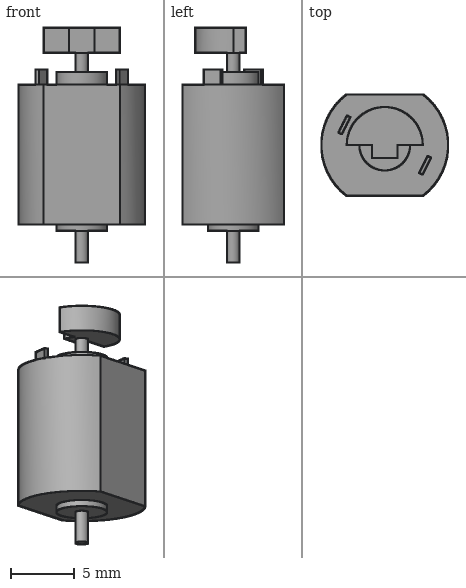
import cadquery as cq

can_diameter = 10.0
can_across_flats = 8.0
can_height = 11.0

boss_diameter = 4.0
lower_boss_height = 0.5
upper_boss_height = 1.0
shaft_diameter = 1.0
lower_shaft_length = 2.5
weight_gap = 1.5

weight_radius = 3.0
weight_height = 2.0
tab_width = 2.0
tab_reach = tab_width / 2

blade_width = 1.5
blade_thickness = 0.3
blade_height = 1.2
blade_circle_radius = 3.55
blade_angle = 153.4

can_top = can_height
shaft_bottom = -lower_boss_height - lower_shaft_length
weight_bottom = can_top + upper_boss_height + weight_gap
weight_top = weight_bottom + weight_height


def cylinder(diameter, bottom, height):
    return cq.Workplane("XY").workplane(offset=bottom).circle(diameter / 2).extrude(height)


def make_can():
    flats = cq.Workplane("XY").rect(can_diameter, can_across_flats).extrude(can_height)
    return cylinder(can_diameter, 0, can_height).intersect(flats)


def make_weight():
    half_tab = tab_width / 2
    return (
        cq.Workplane("XY")
        .workplane(offset=weight_bottom)
        .moveTo(weight_radius, 0)
        .threePointArc((0, weight_radius), (-weight_radius, 0))
        .lineTo(-half_tab, 0)
        .lineTo(-half_tab, -tab_reach)
        .lineTo(half_tab, -tab_reach)
        .lineTo(half_tab, 0)
        .close()
        .extrude(weight_height)
    )


def make_blades():
    return (
        cq.Workplane("XY")
        .workplane(offset=can_top)
        .polarArray(blade_circle_radius, blade_angle, 360, 2)
        .rect(blade_thickness, blade_width)
        .extrude(blade_height)
    )


lower_boss = cylinder(boss_diameter, -lower_boss_height, lower_boss_height)
upper_boss = cylinder(boss_diameter, can_top, upper_boss_height)
shaft = cylinder(shaft_diameter, shaft_bottom, weight_top - shaft_bottom)

result = (
    make_can()
    .union(lower_boss)
    .union(upper_boss)
    .union(shaft)
    .union(make_weight())
    .union(make_blades())
    .clean()
)